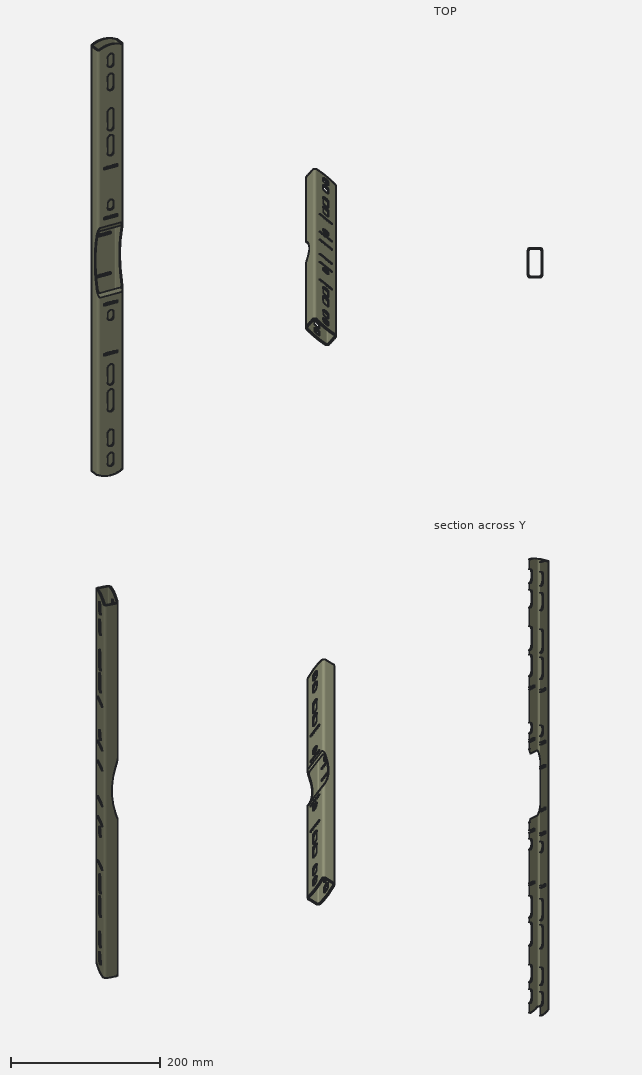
import cadquery as cq

length = 650.0
width_x = 20.0
width_y = 40.0
wall = 2.0
corner_radius = 4.0

crown_height = 4.5

relief_depth = 9.0
relief_half_length = 52.5

upright_slot_width = 10.0
upright_slots = [(83.0, 15.5), (173.0, 31.0), (212.0, 34.0), (268.5, 25.5), (301.0, 20.0)]

cross_slot_length = 22.0
cross_slot_height = 3.1
cross_slot_heights = [30.5, 65.0, 140.5]

cut_reach_x = width_x
cut_reach_y = width_y


def make_tube():
    outer = (
        cq.Workplane("XY")
        .rect(width_x, width_y)
        .extrude(length / 2, both=True)
        .edges("|Z")
        .fillet(corner_radius)
    )
    bore = (
        cq.Workplane("XY")
        .rect(width_x - 2 * wall, width_y - 2 * wall)
        .extrude(length / 2, both=True)
        .edges("|Z")
        .fillet(corner_radius - wall)
    )
    return outer.cut(bore)


def make_crowned_envelope():
    half_y = width_y / 2
    arc_y = half_y - wall
    tip = length / 2
    shoulder = tip - crown_height
    return (
        cq.Workplane("YZ")
        .moveTo(-half_y, -shoulder)
        .lineTo(-arc_y, -shoulder)
        .threePointArc((0, -tip), (arc_y, -shoulder))
        .lineTo(half_y, -shoulder)
        .lineTo(half_y, shoulder)
        .lineTo(arc_y, shoulder)
        .threePointArc((0, tip), (-arc_y, shoulder))
        .lineTo(-half_y, shoulder)
        .close()
        .extrude(cut_reach_x, both=True)
    )


def make_relief():
    radius = (relief_half_length**2 + relief_depth**2) / (2 * relief_depth)
    centre_x = width_x / 2 - relief_depth + radius
    return cq.Workplane("XZ").center(centre_x, 0).circle(radius).extrude(cut_reach_y, both=True)


def make_upright_slots(height, slot_length):
    return (
        cq.Workplane("YZ")
        .pushPoints([(0, height), (0, -height)])
        .slot2D(slot_length, upright_slot_width, 90)
        .extrude(cut_reach_x, both=True)
    )


def make_cross_slots(height):
    return (
        cq.Workplane("YZ")
        .pushPoints([(0, height), (0, -height)])
        .slot2D(cross_slot_length, cross_slot_height)
        .extrude(cut_reach_x, both=True)
    )


result = make_tube().intersect(make_crowned_envelope()).cut(make_relief())
for slot_height, slot_length in upright_slots:
    result = result.cut(make_upright_slots(slot_height, slot_length))
for slot_height in cross_slot_heights:
    result = result.cut(make_cross_slots(slot_height))